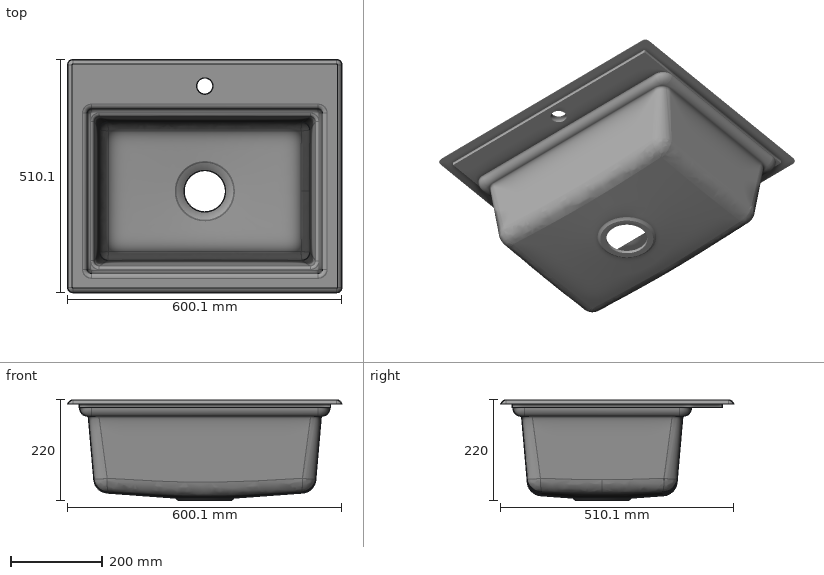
import cadquery as cq
import math

DECK_LENGTH = 600.12
DECK_WIDTH = 510.12
DECK_THICKNESS = 9.5
DECK_CORNER_RADIUS = 12.0
DECK_EDGE_INSET = 10.0
DECK_EDGE_BULGE = 1.5
CUT_CLEARANCE = 1.0

PLATE_LENGTH = 550.0
PLATE_WIDTH = 460.0
PLATE_BOTTOM_Z = -17.0

TOTAL_HEIGHT = 220.0
BASIN_Y = -33.0
WALL = 12.5
FLOOR_THICKNESS = 12.0
WALL_DRAFT = math.tan(math.radians(5.0))
FLOOR_SLOPE = math.tan(math.radians(4.2))

LEDGE_Z = -24.0
OPENING_LENGTH = 515.5
OPENING_WIDTH = 361.5
OPENING_CORNER_RADIUS = 10.0
OPENING_DRAFT_ANGLE = 2.0
OPENING_EDGE_RADIUS = 10.0
LEDGE_FILLET = 6.9
LEDGE_EDGE_RADIUS = 8.0

BOWL_LENGTH = 485.0
BOWL_WIDTH = 328.0
BOWL_TOP_CORNER_RADIUS = 11.0
BOWL_CORNER_GROWTH = 0.045
BOWL_FLOOR_RADIUS = 20.0
LOFT_OVERRUN = 40.0

SHOULDER_LENGTH = 548.0
SHOULDER_WIDTH = 391.0
SHOULDER_BOTTOM_Z = -36.0
SHOULDER_CORNER_RADIUS = 26.0
SHOULDER_EDGE_RADIUS = 18.9
SHOULDER_ROOT_RADIUS = 2.0

DRAIN_DIAMETER = 90.0
DRAIN_SEAT_DIAMETER = 128.0
DRAIN_SEAT_Z = -213.0
DRAIN_BOSS_BOTTOM_DIAMETER = 116.0
DRAIN_BOSS_TOP_Z = -215.0
DRAIN_RIM_RADIUS = 3.0

TAP_HOLE_DIAMETER = 35.0
TAP_HOLE_Y = 197.0

EDGE_SEARCH_MARGIN = 0.5

FLOOR_Z_AT_DRAIN = DRAIN_BOSS_TOP_Z + FLOOR_THICKNESS


def rounded_block(length, width, radius, top_z, bottom_z, y):
    """Upright block with rounded vertical edges."""
    block = cq.Workplane("XY", origin=(0, y, bottom_z)).rect(length, width).extrude(top_z - bottom_z)
    return block.edges("|Z").fillet(radius)


def rounded_outline(length, width, radius, z):
    """Rounded rectangle about the basin's axis."""
    sketch = cq.Sketch().rect(length, width).vertices().fillet(radius)
    return sketch.moved(cq.Location(cq.Vector(0, BASIN_Y, z)))


def floor_cone(z_at_drain):
    """Space above a shallow conical floor that falls toward the drain."""
    reach = DECK_LENGTH
    seat_radius = DRAIN_SEAT_DIAMETER / 2
    tip_z = z_at_drain - seat_radius * FLOOR_SLOPE
    profile = (
        cq.Workplane("XZ", origin=(0, BASIN_Y, 0))
        .moveTo(0, tip_z)
        .lineTo(reach, tip_z + reach * FLOOR_SLOPE)
        .lineTo(reach, reach)
        .lineTo(0, reach)
        .close()
    )
    return profile.revolve(360, (0, 0), (0, 1))


def bowl_body(offset, top_z, floor_z_at_drain):
    """Drafted bowl with a conical floor; offset = 0 is the cavity, offset = WALL the outside."""
    depth = top_z + TOTAL_HEIGHT + LOFT_OVERRUN
    growth = 2 * offset
    shrink = 2 * depth * WALL_DRAFT
    length = BOWL_LENGTH + growth
    width = BOWL_WIDTH + growth
    top_corner = BOWL_TOP_CORNER_RADIUS + offset
    low_corner = top_corner + depth * BOWL_CORNER_GROWTH
    body = (
        cq.Workplane("XY")
        .placeSketch(
            rounded_outline(length, width, top_corner, top_z),
            rounded_outline(length - shrink, width - shrink, low_corner, top_z - depth),
        )
        .loft(ruled=True)
    )
    body = body.intersect(floor_cone(floor_z_at_drain))
    return body.faces("<Z").edges().fillet(BOWL_FLOOR_RADIUS + offset)


def deck_edge_cut():
    """Sliver between the deck's square top edge and its bulged slope, swept around the rim."""
    run = DECK_EDGE_INSET
    drop = DECK_THICKNESS
    chord = math.hypot(run, drop)
    half_length = DECK_LENGTH / 2
    half_width = DECK_WIDTH / 2
    bulge_y = -half_width + run / 2 - DECK_EDGE_BULGE * drop / chord
    bulge_z = -drop / 2 + DECK_EDGE_BULGE * run / chord
    profile = (
        cq.Workplane("YZ")
        .moveTo(-half_width, -drop)
        .threePointArc((bulge_y, bulge_z), (-half_width + run, 0))
        .lineTo(-half_width + run, CUT_CLEARANCE)
        .lineTo(-half_width - CUT_CLEARANCE, CUT_CLEARANCE)
        .lineTo(-half_width - CUT_CLEARANCE, -drop)
        .close()
    )
    straight = half_length - DECK_CORNER_RADIUS
    side = half_width - DECK_CORNER_RADIUS
    bend = DECK_CORNER_RADIUS * math.sqrt(0.5)
    path = (
        cq.Workplane("XY")
        .moveTo(0, -half_width)
        .lineTo(straight, -half_width)
        .threePointArc((straight + bend, -side - bend), (half_length, -side))
        .lineTo(half_length, side)
        .threePointArc((straight + bend, side + bend), (straight, half_width))
        .lineTo(0, half_width)
    )
    half = profile.sweep(path)
    return half.union(half.mirror("YZ"))


def deck():
    """Deck with its sloped edge and its backing plate."""
    slab = rounded_block(DECK_LENGTH, DECK_WIDTH, DECK_CORNER_RADIUS, 0, -DECK_THICKNESS, 0)
    slab = slab.cut(deck_edge_cut())
    plate = cq.Workplane("XY", origin=(0, 0, PLATE_BOTTOM_Z)).rect(PLATE_LENGTH, PLATE_WIDTH)
    return slab.union(plate.extrude(-PLATE_BOTTOM_Z - DECK_THICKNESS))


def shoulder():
    """Rounded block below the plate that carries the stepped opening."""
    block = rounded_block(
        SHOULDER_LENGTH, SHOULDER_WIDTH, SHOULDER_CORNER_RADIUS, PLATE_BOTTOM_Z, SHOULDER_BOTTOM_Z, BASIN_Y
    )
    return block.faces("<Z").edges().fillet(SHOULDER_EDGE_RADIUS)


def drain_boss():
    """Tapered ring under the floor around the drain."""
    boss = cq.Workplane("XY", origin=(0, BASIN_Y, -TOTAL_HEIGHT)).circle(DRAIN_BOSS_BOTTOM_DIAMETER / 2)
    boss = boss.workplane(offset=TOTAL_HEIGHT + DRAIN_BOSS_TOP_Z).circle(DRAIN_SEAT_DIAMETER / 2)
    boss = boss.loft()
    core = cq.Workplane("XY", origin=(0, BASIN_Y, DRAIN_BOSS_TOP_Z)).circle(DRAIN_SEAT_DIAMETER / 2)
    return boss.union(core.extrude(FLOOR_Z_AT_DRAIN - DRAIN_BOSS_TOP_Z))


def drain_cut():
    """Conical seat leading into the straight drain hole."""
    seat_radius = DRAIN_SEAT_DIAMETER / 2
    hole_radius = DRAIN_DIAMETER / 2
    below_part = -TOTAL_HEIGHT - FLOOR_THICKNESS
    profile = (
        cq.Workplane("XZ", origin=(0, BASIN_Y, 0))
        .moveTo(0, below_part)
        .lineTo(hole_radius, below_part)
        .lineTo(hole_radius, DRAIN_SEAT_Z)
        .lineTo(seat_radius, FLOOR_Z_AT_DRAIN)
        .lineTo(0, FLOOR_Z_AT_DRAIN)
        .close()
    )
    return profile.revolve(360, (0, 0), (0, 1))


def opening_cut():
    """Stepped opening down to the ledge, with a rounded foot."""
    outline = rounded_outline(OPENING_LENGTH, OPENING_WIDTH, OPENING_CORNER_RADIUS, 0)
    cut = cq.Workplane("XY").placeSketch(outline).extrude(LEDGE_Z, taper=OPENING_DRAFT_ANGLE)
    return cut.faces("<Z").edges().fillet(LEDGE_FILLET)


def edges_at(solid, z, length, width):
    """Edges near height z that lie inside a length by width rectangle around the basin's axis."""
    half_length = length / 2 + EDGE_SEARCH_MARGIN
    half_width = width / 2 + EDGE_SEARCH_MARGIN
    low_corner = (-half_length, BASIN_Y - half_width, z - EDGE_SEARCH_MARGIN)
    high_corner = (half_length, BASIN_Y + half_width, z + EDGE_SEARCH_MARGIN)
    return solid.edges(cq.selectors.BoxSelector(low_corner, high_corner))


def tap_hole():
    """Hole through the deck behind the bowl."""
    hole = cq.Workplane("XY", origin=(0, TAP_HOLE_Y, PLATE_BOTTOM_Z)).circle(TAP_HOLE_DIAMETER / 2)
    return hole.extrude(-PLATE_BOTTOM_Z)


outer_bowl = bowl_body(WALL, SHOULDER_BOTTOM_Z, DRAIN_BOSS_TOP_Z)
inner_bowl = bowl_body(0, LEDGE_Z, FLOOR_Z_AT_DRAIN)

result = deck().union(shoulder()).union(outer_bowl).union(drain_boss())
result = result.cut(opening_cut()).cut(inner_bowl).cut(drain_cut()).cut(tap_hole())

outer_length = BOWL_LENGTH + 2 * WALL
outer_width = BOWL_WIDTH + 2 * WALL
result = edges_at(result, 0, OPENING_LENGTH, OPENING_WIDTH).fillet(OPENING_EDGE_RADIUS)
result = edges_at(result, LEDGE_Z, BOWL_LENGTH, BOWL_WIDTH).fillet(LEDGE_EDGE_RADIUS)
result = edges_at(result, SHOULDER_BOTTOM_Z, outer_length, outer_width).fillet(SHOULDER_ROOT_RADIUS)
result = edges_at(result, FLOOR_Z_AT_DRAIN, DRAIN_SEAT_DIAMETER, DRAIN_SEAT_DIAMETER).fillet(DRAIN_RIM_RADIUS)